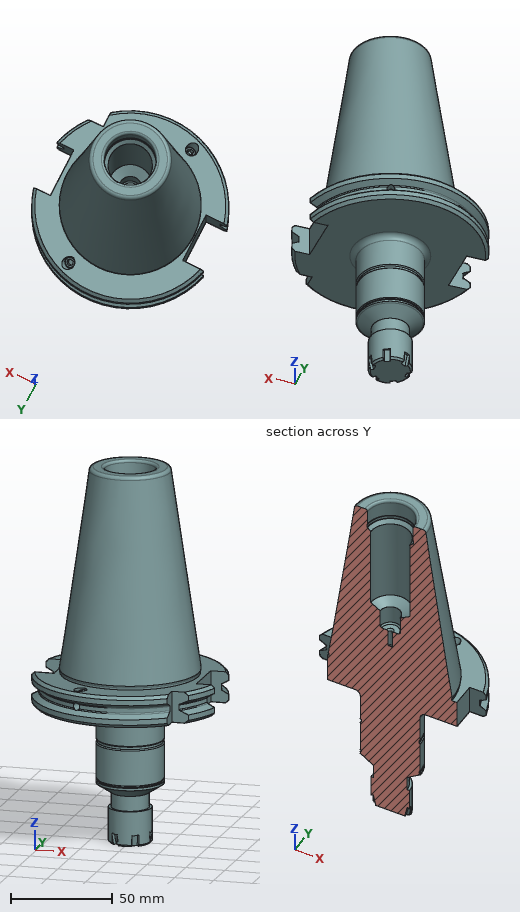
import cadquery as cq
import math


overrun = 1.0

gauge_radius = 69.85 / 2
taper_slope = 7 / 48
taper_top = 101.75
taper_bottom = -1.2
taper_top_round = 2.0
relief_depth = 0.1
relief_lead = 1.0
relief_radius = gauge_radius - relief_depth
taper_top_radius = gauge_radius - taper_slope * taper_top
taper_bottom_radius = gauge_radius - taper_slope * taper_bottom

flange_radius = 97.5 / 2
flange_top = -3.2
flange_bottom = -19.1
flange_chamfer = 1.6
v_groove_middle = -11.1
v_groove_floor_radius = 45.1
v_groove_floor_half_width = 1.5
v_groove_floor_round = 0.7
v_groove_side_angle = math.radians(30)
v_groove_depth = flange_radius - v_groove_floor_radius
v_groove_half_width = v_groove_floor_half_width + v_groove_depth * math.tan(v_groove_side_angle)

drive_slot_width = 25.7
left_slot_floor = 35.5
right_slot_floor = 37.7
notch_x = 30.0
notch_y = 30.0

shank_radius = 17.0
shank_round = 3.0
ring_groove_depth = 0.6
ring_groove_side_share = 1 / 4
wide_groove_top = -36.8
wide_groove_width = 2.4
narrow_groove_top = -57.1
narrow_groove_width = 1.2
shank_end = -60.0
shank_end_chamfer = 0.5
cone_start_radius = 16.2
neck_radius = 9.5
neck_top = -64.4

nut_radius = 10.9
nut_top = -72.0
nut_bottom = -90.0
nut_chamfer = 1.0
nut_slot_count = 6
nut_slot_mouth_width = 3.7
nut_slot_floor_width = 2.8
nut_slot_height = 6.1
nut_slot_floor_radius = 9.6
nut_slot_floor_tilt = 12

bore_mouth_radius = 12.8
bore_mouth_round = 1.4
bore_mouth_depth = 11.7
undercut_radius = 13.1
undercut_width = 1.8
thread_bore_radius = 10.9
thread_bore_depth = 60.0
coolant_bore_radius = 5.6
coolant_step_radius = 4.8
coolant_step_depth = 0.8
drill_half_angle = math.radians(59)
coolant_bore_length = 10.0
jet_entry_radius = 1.9
jet_radius = 1.0
jet_length = 10.0

port_angles = (70, 250)
port_circle_radius = 42.0
port_tilt = 30
port_radius = 3.0
port_depth = 14.0
screw_radius = port_radius
screw_seat_depth = 2.3
screw_length = 6.0
screw_chamfer = 0.5
socket_width = 3.0
socket_depth = 2.0
side_hole_radius = 1.9
side_hole_reach = 10.0


def turned(points):
    """Solid of revolution about Z from (radius, height) points."""
    return cq.Workplane("YZ").polyline(points).close().revolve(360, (0, 0), (0, 1))


def ring_groove(top, width):
    """Cutter for a groove with sloping sides around the shank."""
    floor_radius = shank_radius - ring_groove_depth
    side = width * ring_groove_side_share
    return turned([
        (shank_radius, top),
        (shank_radius + overrun, top),
        (shank_radius + overrun, top - width),
        (shank_radius, top - width),
        (floor_radius, top - width + side),
        (floor_radius, top - side),
    ])


def outer_body():
    """Taper, flange, shank and nut as one turned body."""
    half = v_groove_half_width
    floor_half = v_groove_floor_half_width
    arc_in = shank_round * (1 - math.sqrt(0.5))
    side_angle = math.atan(taper_slope)
    tangent = taper_top_round * math.tan((math.pi / 2 - side_angle) / 2)
    round_center = (taper_top_radius - tangent, taper_top - taper_top_round)
    mid_angle = (math.pi / 2 + side_angle) / 2
    profile = (
        cq.Workplane("YZ")
        .moveTo(0, taper_top)
        .lineTo(taper_top_radius - tangent, taper_top)
        .threePointArc(
            (
                round_center[0] + taper_top_round * math.cos(mid_angle),
                round_center[1] + taper_top_round * math.sin(mid_angle),
            ),
            (
                round_center[0] + taper_top_round * math.cos(side_angle),
                round_center[1] + taper_top_round * math.sin(side_angle),
            ),
        )
        .lineTo(taper_bottom_radius, taper_bottom)
        .lineTo(relief_radius, taper_bottom - relief_lead)
        .lineTo(relief_radius, flange_top)
        .lineTo(flange_radius - flange_chamfer, flange_top)
        .lineTo(flange_radius, flange_top - flange_chamfer)
        .lineTo(flange_radius, v_groove_middle + half)
        .lineTo(v_groove_floor_radius, v_groove_middle + floor_half)
        .lineTo(v_groove_floor_radius, v_groove_middle - floor_half)
        .lineTo(flange_radius, v_groove_middle - half)
        .lineTo(flange_radius, flange_bottom + flange_chamfer)
        .lineTo(flange_radius - flange_chamfer, flange_bottom)
        .lineTo(shank_radius + shank_round, flange_bottom)
        .threePointArc(
            (shank_radius + arc_in, flange_bottom - arc_in),
            (shank_radius, flange_bottom - shank_round),
        )
        .lineTo(shank_radius, shank_end + shank_end_chamfer)
        .lineTo(cone_start_radius, shank_end)
        .lineTo(neck_radius, neck_top)
        .lineTo(neck_radius, nut_top)
        .lineTo(nut_radius, nut_top)
        .lineTo(nut_radius, nut_bottom + nut_chamfer)
        .lineTo(nut_radius - nut_chamfer, nut_bottom)
        .lineTo(0, nut_bottom)
        .close()
    )
    body = profile.revolve(360, (0, 0), (0, 1))
    floor_corners = [
        edge
        for edge in body.edges("%CIRCLE").vals()
        if math.isclose(edge.radius(), v_groove_floor_radius)
    ]
    return body.newObject(floor_corners).fillet(v_groove_floor_round)


def bore():
    """Cutter for the stepped bore."""
    drill_slope = 1 / math.tan(drill_half_angle)
    step_z = taper_top - bore_mouth_depth
    lead = bore_mouth_radius - thread_bore_radius
    cone_z = taper_top - thread_bore_depth
    coolant_z = cone_z - (thread_bore_radius - coolant_bore_radius) * drill_slope
    coolant_floor = coolant_z - coolant_bore_length
    jet_z = coolant_floor - coolant_step_depth
    arc_in = bore_mouth_round * (1 - math.sqrt(0.5))
    return (
        cq.Workplane("YZ")
        .moveTo(0, taper_top)
        .lineTo(bore_mouth_radius + bore_mouth_round, taper_top)
        .threePointArc(
            (bore_mouth_radius + arc_in, taper_top - arc_in),
            (bore_mouth_radius, taper_top - bore_mouth_round),
        )
        .lineTo(bore_mouth_radius, step_z + undercut_width)
        .lineTo(undercut_radius, step_z + undercut_width)
        .lineTo(undercut_radius, step_z)
        .lineTo(bore_mouth_radius, step_z)
        .lineTo(thread_bore_radius, step_z - lead)
        .lineTo(thread_bore_radius, cone_z)
        .lineTo(coolant_bore_radius, coolant_z)
        .lineTo(coolant_bore_radius, coolant_floor)
        .lineTo(coolant_step_radius, jet_z)
        .lineTo(jet_entry_radius, jet_z)
        .lineTo(jet_radius, jet_z - (jet_entry_radius - jet_radius))
        .lineTo(jet_radius, jet_z - jet_length)
        .lineTo(0, jet_z - jet_length)
        .close()
        .revolve(360, (0, 0), (0, 1))
    )


def block(x_min, x_max, y_min, y_max, z_min, z_max):
    return cq.Workplane("XY").box(
        x_max - x_min, y_max - y_min, z_max - z_min, centered=False
    ).translate((x_min, y_min, z_min))


def flange_cutouts():
    """Cutters for the two drive slots and the corner notch."""
    out = flange_radius + overrun
    half = drive_slot_width / 2
    heights = (flange_bottom, flange_top)
    left = block(-out, -left_slot_floor, -half, half, *heights)
    right = block(right_slot_floor, out, -half, half, *heights)
    notch = block(notch_x, out, -out, -notch_y, *heights)
    return left.union(right).union(notch)


def place_port(body, angle):
    """Moves a body built along Z, origin at the port mouth, onto the inclined port axis."""
    return (
        body.rotate((0, 0, 0), (0, 1, 0), port_tilt)
        .translate((port_circle_radius, 0, flange_top))
        .rotate((0, 0, 0), (0, 0, 1), angle)
    )


def port(angle):
    """Cutter for one inclined coolant port."""
    clearance = port_radius * math.tan(math.radians(port_tilt)) + overrun
    hole = cq.Workplane("XY", origin=(0, 0, -port_depth)).circle(port_radius).extrude(port_depth + clearance)
    return place_port(hole, angle)


def side_hole(angle):
    """Cutter for the radial hole from the V-groove floor to a port."""
    start = flange_radius - side_hole_reach
    hole = (
        cq.Workplane("YZ", origin=(start, 0, v_groove_middle))
        .circle(side_hole_radius)
        .extrude(side_hole_reach)
    )
    return hole.rotate((0, 0, 0), (0, 0, 1), angle)


def set_screw(angle):
    """Hexagon-socket set screw seated in one port."""
    screw = (
        cq.Workplane("XY")
        .workplane(offset=-screw_seat_depth - screw_length)
        .circle(screw_radius)
        .extrude(screw_length)
        .faces(">Z or <Z")
        .chamfer(screw_chamfer)
        .faces(">Z")
        .workplane()
        .polygon(6, socket_width, circumscribed=True)
        .cutBlind(-socket_depth)
    )
    return place_port(screw, angle)


def nut_slots():
    """Cutters for the wrench slots: flared walls, and a floor that gets deeper towards the nut face."""
    top = nut_bottom + nut_slot_height
    mouth_half = nut_slot_mouth_width / 2
    floor_half = nut_slot_floor_width / 2
    cutter = (
        cq.Workplane("XY", origin=(0, 0, top))
        .polyline([
            (nut_slot_floor_radius, -floor_half),
            (nut_radius, -mouth_half),
            (nut_radius + nut_slot_height, -mouth_half),
            (nut_radius + nut_slot_height, mouth_half),
            (nut_radius, mouth_half),
            (nut_slot_floor_radius, floor_half),
        ])
        .close()
        .extrude(-2 * nut_slot_height)
        .rotate((nut_slot_floor_radius, 0, top), (nut_slot_floor_radius, 1, top), nut_slot_floor_tilt)
    )
    step = 360 / nut_slot_count
    return [cutter.rotate((0, 0, 0), (0, 0, 1), i * step) for i in range(nut_slot_count)]


holder = outer_body().cut(bore()).cut(flange_cutouts())
holder = holder.cut(ring_groove(wide_groove_top, wide_groove_width))
holder = holder.cut(ring_groove(narrow_groove_top, narrow_groove_width))
for nut_slot in nut_slots():
    holder = holder.cut(nut_slot)
for port_angle in port_angles:
    holder = holder.cut(port(port_angle)).cut(side_hole(port_angle))

set_screws = [set_screw(port_angle) for port_angle in port_angles]

result = cq.Compound.makeCompound([holder.val(), *[screw.val() for screw in set_screws]])